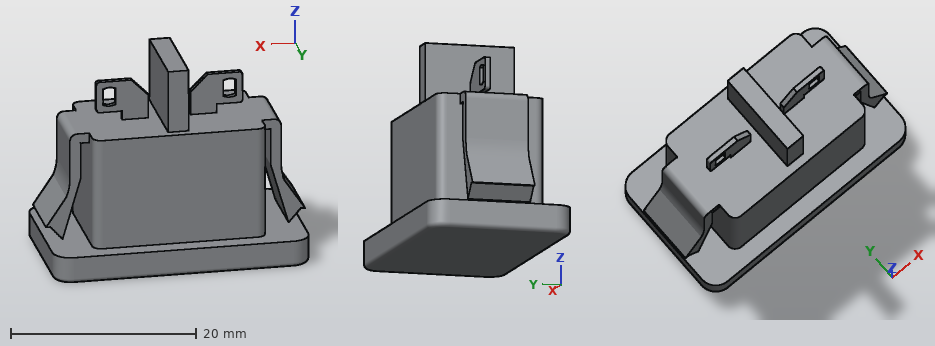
import cadquery as cq

FLANGE_LENGTH = 28.2
FLANGE_WIDTH = 16.0
FLANGE_HEIGHT = 3.0
FLANGE_CORNER_RADIUS = 2.0
FLANGE_EDGE_RADIUS = 0.5

BODY_LENGTH = 19.05
BODY_WIDTH = 12.0
BODY_TOP = 15.5
BODY_CORNER_RADIUS = 1.0

DIVIDER_THICKNESS = 2.25
DIVIDER_WIDTH = 10.0
DIVIDER_TOP = 22.5

TAB_THICKNESS = 0.6
TAB_INNER_X = 2.35
TAB_FOOT_X = 5.2
TAB_OUTER_X = 8.05
TAB_BOTTOM = 16.5
TAB_TOP = 20.0
TAB_CHAMFER = 1.85
TAB_CORNER_RADIUS = 0.35
HOLE_WIDTH = 1.4
HOLE_SIDE_HEIGHT = 1.8
HOLE_END_RADIUS = 1.57
HOLE_CENTRE_X = 6.62

CLIP_WIDTH = 7.0
CLIP_OUTER_X = 11.65
CLIP_INNER_X = 10.48
CLIP_TOP_THICKNESS = 1.08
CLIP_SHOULDER_RADIUS = 0.8
CLIP_BEND_Z = 10.28
CLIP_RAMP_X = 12.05
CLIP_RAMP_Z = 8.28
CLIP_BARB_X = 14.28
CLIP_BARB_Z = 4.97
CLIP_BARB_FLAT = 0.49
CLIP_TIP_X = 12.45
CLIP_TIP_Z = 3.45


def rounded_block(length, width, bottom, top, corner_radius):
    """Upright block centred on Z with rounded vertical edges."""
    block = cq.Workplane("XY").workplane(offset=bottom).rect(length, width).extrude(top - bottom)
    return block.edges("|Z").fillet(corner_radius)


def make_flange():
    flange = rounded_block(FLANGE_LENGTH, FLANGE_WIDTH, 0, FLANGE_HEIGHT, FLANGE_CORNER_RADIUS)
    return flange.faces("<Z").edges().fillet(FLANGE_EDGE_RADIUS)


def make_divider():
    divider = cq.Workplane("XY").workplane(offset=BODY_TOP).rect(DIVIDER_THICKNESS, DIVIDER_WIDTH)
    return divider.extrude(DIVIDER_TOP - BODY_TOP)


def make_terminal():
    """Tab on the +X side, with an upright hole whose ends are arcs."""
    tab = (
        cq.Workplane("XZ")
        .moveTo(TAB_INNER_X, BODY_TOP)
        .lineTo(TAB_INNER_X, TAB_TOP - TAB_CHAMFER)
        .lineTo(TAB_INNER_X + TAB_CHAMFER, TAB_TOP)
        .lineTo(TAB_OUTER_X, TAB_TOP)
        .lineTo(TAB_OUTER_X, TAB_BOTTOM)
        .lineTo(TAB_FOOT_X, TAB_BOTTOM)
        .lineTo(TAB_FOOT_X, BODY_TOP)
        .close()
        .extrude(TAB_THICKNESS / 2, both=True)
    )
    tab = tab.faces(">X").edges("|Y").fillet(TAB_CORNER_RADIUS)

    half_width = HOLE_WIDTH / 2
    half_side = HOLE_SIDE_HEIGHT / 2
    hole = (
        cq.Workplane("XZ", origin=(HOLE_CENTRE_X, 0, (TAB_BOTTOM + TAB_TOP) / 2))
        .moveTo(-half_width, -half_side)
        .lineTo(-half_width, half_side)
        .radiusArc((half_width, half_side), HOLE_END_RADIUS)
        .lineTo(half_width, -half_side)
        .radiusArc((-half_width, -half_side), HOLE_END_RADIUS)
        .close()
        .extrude(TAB_THICKNESS, both=True)
    )
    return tab.cut(hole)


def make_clip():
    """Snap arm on the +X side: out from the body, down, then flared to a barb."""
    root_x = BODY_LENGTH / 2
    shoulder_x = CLIP_OUTER_X - CLIP_SHOULDER_RADIUS
    shoulder_z = BODY_TOP - CLIP_SHOULDER_RADIUS
    underside_z = BODY_TOP - CLIP_TOP_THICKNESS
    return (
        cq.Workplane("XZ")
        .moveTo(root_x, BODY_TOP)
        .lineTo(shoulder_x, BODY_TOP)
        .radiusArc((CLIP_OUTER_X, shoulder_z), CLIP_SHOULDER_RADIUS)
        .lineTo(CLIP_OUTER_X, CLIP_BEND_Z)
        .tangentArcPoint((CLIP_RAMP_X, CLIP_RAMP_Z), relative=False)
        .lineTo(CLIP_BARB_X, CLIP_BARB_Z)
        .lineTo(CLIP_BARB_X - CLIP_BARB_FLAT, CLIP_BARB_Z)
        .lineTo(CLIP_TIP_X, CLIP_TIP_Z)
        .lineTo(CLIP_INNER_X, CLIP_BEND_Z)
        .lineTo(CLIP_INNER_X, underside_z)
        .lineTo(root_x, underside_z)
        .close()
        .extrude(CLIP_WIDTH / 2, both=True)
    )


body = rounded_block(BODY_LENGTH, BODY_WIDTH, FLANGE_HEIGHT, BODY_TOP, BODY_CORNER_RADIUS)
result = make_flange().union(body).union(make_divider())
for end_feature in (make_terminal(), make_clip()):
    result = result.union(end_feature).union(end_feature.mirror("YZ"))